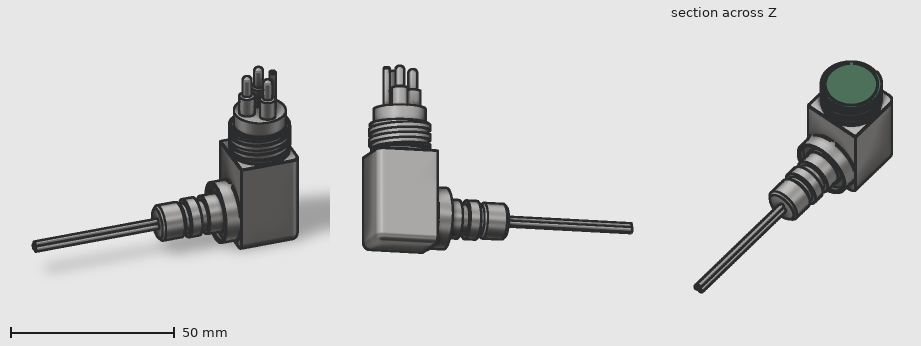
import cadquery as cq
import math

BLOCK_SIDE = 19.05
BLOCK_HEIGHT = 28.75
CORNER_RADIUS = 2.3
EDGE_BREAK = 0.25
FRONT_Y = -BLOCK_SIDE / 2

THREAD_ROOT_RADIUS = 17.65 / 2
THREAD_CREST_RADIUS = 18.8 / 2
NECK_FLARE = 0.25
RELIEF_DEPTH = 0.25
RELIEF_HEIGHT = 0.5
THREAD_BOTTOM = 30.4
THREAD_TOP = 38.1
THREAD_PITCH = 3.15
THREAD_CENTRE_AT_X = 34.9
THREAD_LEAD_IN = 0.4
THREAD_OVERLAP = 0.25
TRIM_MARGIN = 0.8
SHELL_BORE_RADIUS = 16.15 / 2
SHELL_GAP_DEPTH = 0.5
INSULATOR_RADIUS = 15.9 / 2
INSULATOR_TOP = 42.75

PITCH_CIRCLE_RADIUS = 4.15
CONTACT_ANGLES = (15, 165, 270)
KEY_ANGLE = 90
PIN_TOP = 55.5
SLEEVE_RADIUS = 4.8 / 2
SLEEVE_TOP = 48.6
SLEEVE_CONE_HEIGHT = 0.4
PIN_RADIUS = 2.8 / 2
DOME_HEIGHT = 1.4
KEY_RADIUS = 2.0 / 2
KEY_TIP_RADIUS = 1.5 / 2
KEY_TIP_HEIGHT = 0.4

FLANGE_RADIUS = 18.9 / 2
OUTLET_Z = BLOCK_SIDE / 2
FLANGE_LENGTH = 4.7
FLANGE_FILLET = 0.3
RECESS_RADIUS = 17.15 / 2
RECESS_DEPTH = 1.65
RECESS_LIP = 0.25
HUB_RADIUS = 12.7 / 2
HUB_HEIGHT = 1.2
COLLAR_RADIUS = 11.9 / 2
COLLAR_CHAMFER = 0.2
GROOVE_RADIUS = 9.4 / 2
BARREL_RADIUS = 11.0 / 2
SHOULDER_END = 8.95
COLLAR_START = 11.2
COLLAR_END = 14.75
BARREL_START = 16.1
BARREL_END = 23.8
BARREL_CHAMFER = BARREL_RADIUS - GROOVE_RADIUS

WIRE_RADIUS = 0.79
BUNDLE_X = 0.2
WIRE_OFFSET = 0.95
WIRE_COUNT = 3
TOTAL_LENGTH = 82.85
WIRE_LENGTH = TOTAL_LENGTH - BLOCK_SIDE - BARREL_END
WIRE_ROOT = 0.8


def cylinder(radius, bottom, top):
    return cq.Workplane("XY").workplane(offset=bottom).circle(radius).extrude(top - bottom)


def at_polar(shape, radius, angle):
    turn = math.radians(angle)
    return shape.translate((radius * math.cos(turn), radius * math.sin(turn), 0))


def make_block():
    block = cq.Workplane("XY").box(BLOCK_SIDE, BLOCK_SIDE, BLOCK_HEIGHT, centered=(True, True, False))
    block = block.edges("(|Z and >Y) or (<Z and (not <Y))").fillet(CORNER_RADIUS)
    return block.faces("<Y or >Z").edges().chamfer(EDGE_BREAK)


def make_thread():
    """One helical ridge of rectangular section, trimmed to the threaded length."""
    start_height = THREAD_CENTRE_AT_X - 2 * THREAD_PITCH
    turns = math.ceil((THREAD_TOP - start_height) / THREAD_PITCH) + 1
    inner_radius = THREAD_ROOT_RADIUS - THREAD_OVERLAP
    middle_radius = (inner_radius + THREAD_CREST_RADIUS) / 2
    path = cq.Wire.makeHelix(THREAD_PITCH, turns * THREAD_PITCH, THREAD_ROOT_RADIUS)
    ridge = (
        cq.Workplane("XZ")
        .center(middle_radius, 0)
        .rect(THREAD_CREST_RADIUS - inner_radius, THREAD_PITCH / 2)
        .sweep(path, isFrenet=True)
        .translate((0, 0, start_height))
    )
    limit = cylinder(THREAD_CREST_RADIUS + TRIM_MARGIN, THREAD_BOTTOM, THREAD_TOP)
    limit = limit.faces(">Z").chamfer(THREAD_LEAD_IN + TRIM_MARGIN)
    return ridge.intersect(limit)


def make_neck():
    outline = [
        (0, BLOCK_HEIGHT),
        (THREAD_ROOT_RADIUS + NECK_FLARE, BLOCK_HEIGHT),
        (THREAD_ROOT_RADIUS, BLOCK_HEIGHT + NECK_FLARE),
        (THREAD_ROOT_RADIUS, THREAD_BOTTOM - RELIEF_HEIGHT),
        (THREAD_ROOT_RADIUS - RELIEF_DEPTH, THREAD_BOTTOM - RELIEF_HEIGHT),
        (THREAD_ROOT_RADIUS, THREAD_BOTTOM),
        (THREAD_ROOT_RADIUS, THREAD_TOP),
        (SHELL_BORE_RADIUS, THREAD_TOP),
        (SHELL_BORE_RADIUS, THREAD_TOP - SHELL_GAP_DEPTH),
        (INSULATOR_RADIUS, THREAD_TOP - SHELL_GAP_DEPTH),
        (INSULATOR_RADIUS, INSULATOR_TOP),
        (0, INSULATOR_TOP),
    ]
    return cq.Workplane("XZ").polyline(outline).close().revolve(360, (0, 0, 0), (0, 1, 0))


def make_contact():
    dome_base = PIN_TOP - DOME_HEIGHT
    dome_mid = (PIN_RADIUS * math.sqrt(0.5), dome_base + DOME_HEIGHT * math.sqrt(0.5))
    return (
        cq.Workplane("XZ")
        .moveTo(0, INSULATOR_TOP)
        .lineTo(SLEEVE_RADIUS, INSULATOR_TOP)
        .lineTo(SLEEVE_RADIUS, SLEEVE_TOP)
        .lineTo(PIN_RADIUS, SLEEVE_TOP + SLEEVE_CONE_HEIGHT)
        .lineTo(PIN_RADIUS, dome_base)
        .threePointArc(dome_mid, (0, PIN_TOP))
        .close()
        .revolve(360, (0, 0, 0), (0, 1, 0))
    )


def make_key_pin():
    outline = [
        (0, INSULATOR_TOP),
        (KEY_RADIUS, INSULATOR_TOP),
        (KEY_RADIUS, PIN_TOP - KEY_TIP_HEIGHT),
        (KEY_TIP_RADIUS, PIN_TOP),
        (0, PIN_TOP),
    ]
    return cq.Workplane("XZ").polyline(outline).close().revolve(360, (0, 0, 0), (0, 1, 0))


def make_outlet():
    floor = FLANGE_LENGTH - RECESS_DEPTH
    edge_radius = COLLAR_RADIUS - COLLAR_CHAMFER
    fillet_mid = FLANGE_FILLET * (1 - math.sqrt(0.5))
    body = (
        cq.Workplane("XY")
        .moveTo(0, 0)
        .lineTo(FLANGE_RADIUS + FLANGE_FILLET, 0)
        .threePointArc((FLANGE_RADIUS + fillet_mid, fillet_mid), (FLANGE_RADIUS, FLANGE_FILLET))
        .lineTo(FLANGE_RADIUS, FLANGE_LENGTH)
        .lineTo(RECESS_RADIUS + RECESS_LIP, FLANGE_LENGTH)
        .lineTo(RECESS_RADIUS, FLANGE_LENGTH - RECESS_LIP)
        .lineTo(RECESS_RADIUS, floor)
        .lineTo(HUB_RADIUS, floor)
        .lineTo(HUB_RADIUS, floor + HUB_HEIGHT)
        .lineTo(COLLAR_RADIUS, floor + HUB_HEIGHT)
        .lineTo(COLLAR_RADIUS, SHOULDER_END - COLLAR_CHAMFER)
        .lineTo(edge_radius, SHOULDER_END)
        .lineTo(GROOVE_RADIUS, SHOULDER_END)
        .lineTo(GROOVE_RADIUS, COLLAR_START)
        .lineTo(edge_radius, COLLAR_START)
        .lineTo(COLLAR_RADIUS, COLLAR_START + COLLAR_CHAMFER)
        .lineTo(COLLAR_RADIUS, COLLAR_END - COLLAR_CHAMFER)
        .lineTo(edge_radius, COLLAR_END)
        .lineTo(GROOVE_RADIUS, COLLAR_END)
        .lineTo(GROOVE_RADIUS, BARREL_START)
        .lineTo(BARREL_RADIUS, BARREL_START + BARREL_CHAMFER)
        .lineTo(BARREL_RADIUS, BARREL_END - BARREL_CHAMFER)
        .lineTo(GROOVE_RADIUS, BARREL_END)
        .lineTo(0, BARREL_END)
        .close()
        .revolve(360, (0, 0, 0), (0, 1, 0))
    )
    body = body.rotate((0, 0, 0), (1, 0, 0), 180).translate((0, FRONT_Y, OUTLET_Z))
    trim = cq.Workplane("XY").box(
        BLOCK_SIDE, 2 * TOTAL_LENGTH, 2 * BLOCK_HEIGHT, centered=(True, True, False)
    )
    return body.intersect(trim)


def make_wires():
    return (
        cq.Workplane("XZ", origin=(BUNDLE_X, FRONT_Y - BARREL_END + WIRE_ROOT, OUTLET_Z))
        .polarArray(WIRE_OFFSET, 90, 360, WIRE_COUNT)
        .circle(WIRE_RADIUS)
        .extrude(WIRE_LENGTH + WIRE_ROOT)
    )


result = make_block().union(make_neck()).union(make_thread())
for contact_angle in CONTACT_ANGLES:
    result = result.union(at_polar(make_contact(), PITCH_CIRCLE_RADIUS, contact_angle))
result = result.union(at_polar(make_key_pin(), PITCH_CIRCLE_RADIUS, KEY_ANGLE))
result = result.union(make_outlet()).union(make_wires())